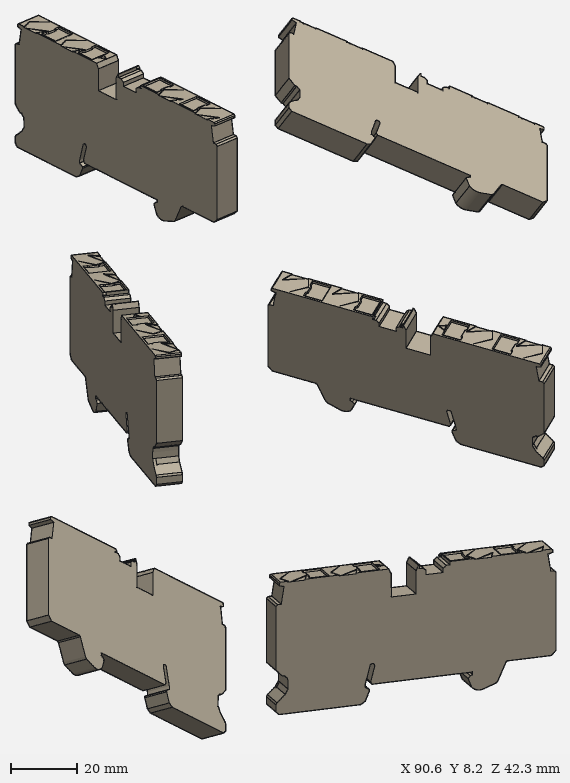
import cadquery as cq
import math

LENGTH = 90.6
WIDTH = 8.2
HEIGHT = 42.3

SHOULDER_Z = 35.2
SHOULDER_CHAMFER = 0.5
NECK_FOOT_INSET = 1.7
NECK_TOP_INSET = 2.6
NECK_TOP_Z = 40.8
LIP_INSET = 1.1
LIP_CHAMFER = 0.4
LIP_BOTTOM_Z = 41.2

SLOT_LEFT = 37.3
SLOT_RIGHT = 45.3
SLOT_FLOOR_Z = 33.25
SLOT_FLARE = 0.8
SLOT_FLARE_Z = 40.7

GROOVE_TOP_LEFT = 46.4
GROOVE_TOP_RIGHT = 56.3
GROOVE_LEDGE_Z = 41.2
GROOVE_LEDGE_WIDTH = 1.2
GROOVE_LEFT = 48.6
GROOVE_RIGHT = 54.1
GROOVE_CHAMFER_Z = 40.4
GROOVE_FLOOR_Z = 39.05

RAIL_SEAT_Z = 6.1
BELLY_Z = 8.2
BELLY_CHAMFER = 1.5
FOOT_CHAMFER = 1.0
FOOT_TOP_Z = 3.3
FOOT_SLOPE_START = (0.4, 3.9)
FOOT_TOE = [(28.9, 5.35), (30.3, 4.5), (30.3, 4.1), (28.9, 0.9), (27.4, 0)]

HOOK_BACK = [(74.8, BELLY_Z), (74.4, 7.9), (71.8, 2.3), (71.2, 1.6)]
HOOK_ROUND_START = (66.95, 0.2)
HOOK_ROUND_MIDDLE = (65.0, 0.2)
HOOK_ROUND_END = (63.3, 1.2)
HOOK_NOSE = [(62.15, 4.2), (62.9, 5.0), (63.6, 5.3), (63.6, RAIL_SEAT_Z)]

SLIT_MOUTH = [(31.1, RAIL_SEAT_Z), (30.6, 6.9)]
SLIT_ROUND_START = (31.9, 11.6)
SLIT_ROUND_TOP = (31.3, 12.7)
SLIT_ROUND_END = (30.35, 11.9)
SLIT_BOTTOM_LEFT = (28.9, 6.25)

NOTCH_DEPTH = 3.9
NOTCH_TOP_Z = 14.3
NOTCH_WALL_BOTTOM = (NOTCH_DEPTH, 7.9)
NOTCH_UPPER_WALL = [(NOTCH_DEPTH, 9.8), (3.8, 11.2), (2.7, 12.2), (2.1, 12.2)]
NOTCH_CORNER_X = 3.0
NOTCH_CORNER_Z = 6.25
NOTCH_FILL = 0.3

PLATE_THICKNESS = 1.0
NIB_REACH = 0.6
NIB_TIP_Z = 41.7
NIB_BOTTOM_Z = 41.5

OPENING_PITCH = 16.4
RIGHT_GROUP_OFFSET = 60.25
TOOL_RECESS_DEPTH = 0.3
RAMP_HINGE_BACK = (7.0, 7.6)
RAMP_HINGE_FRONT = (11.1, 3.4)
RAMP_CORNER = (2.6, 3.4)
RAMP_FRONT_START = 4.1
FLAT_FRONT_START = 4.7
FLAT_FRONT_END = 9.4

POCKET_LENGTH = 6.2
POCKET_WIDTH = 6.9
POCKET_FRONT_Y = 0.6
POCKET_DEPTH = 0.45
POCKET_WALL_INSET = 0.3
INDENT_DEPTH = 0.45
INDENT_START = 1.8
INDENT_CHAMFER = 0.45
INDENT_END = 5.4
LEFT_POCKET_X = 11.2
RIGHT_POCKET_X = 62.8

ARROW_LEFT = 34.1
ARROW_TIP = 36.3
ARROW_HALF_WIDTH = 1.1
ARROW_CENTRE_Y = 4.2
ARROW_DEPTH = 0.3


def end_shoulder():
    """Left-end shoulder, neck and lip, listed from the side wall up to the top face."""
    return [
        (0, SHOULDER_Z - SHOULDER_CHAMFER),
        (SHOULDER_CHAMFER, SHOULDER_Z),
        (NECK_FOOT_INSET, SHOULDER_Z),
        (NECK_TOP_INSET, NECK_TOP_Z),
        (LIP_INSET, LIP_BOTTOM_Z),
        (LIP_INSET, HEIGHT - LIP_CHAMFER),
        (LIP_INSET + LIP_CHAMFER, HEIGHT),
    ]


def mirrored_end(points):
    """The same points on the opposite end, in reverse order."""
    return [(LENGTH - x, z) for x, z in reversed(points)]


def top_cutouts():
    """Deep slot followed by the stepped groove, from left to right."""
    return [
        (SLOT_LEFT - SLOT_FLARE, HEIGHT),
        (SLOT_LEFT, SLOT_FLARE_Z),
        (SLOT_LEFT, SLOT_FLOOR_Z),
        (SLOT_RIGHT, SLOT_FLOOR_Z),
        (SLOT_RIGHT, SLOT_FLARE_Z),
        (SLOT_RIGHT + SLOT_FLARE, HEIGHT),
        (GROOVE_TOP_LEFT, HEIGHT),
        (GROOVE_TOP_LEFT, GROOVE_LEDGE_Z),
        (GROOVE_TOP_LEFT + GROOVE_LEDGE_WIDTH, GROOVE_LEDGE_Z),
        (GROOVE_LEFT, GROOVE_CHAMFER_Z),
        (GROOVE_LEFT, GROOVE_FLOOR_Z),
        (GROOVE_RIGHT, GROOVE_FLOOR_Z),
        (GROOVE_RIGHT, GROOVE_CHAMFER_Z),
        (GROOVE_TOP_RIGHT - GROOVE_LEDGE_WIDTH, GROOVE_LEDGE_Z),
        (GROOVE_TOP_RIGHT, GROOVE_LEDGE_Z),
        (GROOVE_TOP_RIGHT, HEIGHT),
    ]


def housing():
    """Full housing profile, clockwise from the left wall."""
    left_end = end_shoulder()
    upper_edge = left_end + top_cutouts() + mirrored_end(left_end)
    belly_corner = [(LENGTH, BELLY_Z + BELLY_CHAMFER), (LENGTH - BELLY_CHAMFER, BELLY_Z)]
    foot_and_notch = [
        (FOOT_CHAMFER, 0),
        (0, FOOT_CHAMFER),
        (0, FOOT_TOP_Z),
        FOOT_SLOPE_START,
        (NOTCH_CORNER_X, NOTCH_CORNER_Z),
        NOTCH_WALL_BOTTOM,
        *NOTCH_UPPER_WALL,
        (0, NOTCH_TOP_Z),
    ]
    profile = (
        cq.Workplane("XZ")
        .polyline(upper_edge + belly_corner + HOOK_BACK + [HOOK_ROUND_START])
        .threePointArc(HOOK_ROUND_MIDDLE, HOOK_ROUND_END)
        .polyline(HOOK_NOSE + SLIT_MOUTH + [SLIT_ROUND_START], includeCurrent=True)
        .threePointArc(SLIT_ROUND_TOP, SLIT_ROUND_END)
        .polyline([SLIT_BOTTOM_LEFT] + FOOT_TOE + foot_and_notch, includeCurrent=True)
        .close()
    )
    return profile.extrude(-WIDTH)


def plate_fill(points):
    """Extra material within the thickness of the cover plate."""
    plane = cq.Workplane("XZ", origin=(0, WIDTH, 0))
    return plane.polyline(points).close().extrude(PLATE_THICKNESS)


def cover_plate_details():
    """Snap nibs facing each other across the groove, and a filled notch corner."""
    left_nib = [
        (GROOVE_TOP_LEFT, HEIGHT),
        (GROOVE_TOP_LEFT + NIB_REACH, NIB_TIP_Z),
        (GROOVE_TOP_LEFT, NIB_BOTTOM_Z),
    ]
    right_nib = [
        (GROOVE_TOP_RIGHT, HEIGHT),
        (GROOVE_TOP_RIGHT - NIB_REACH, NIB_TIP_Z),
        (GROOVE_TOP_RIGHT, NIB_BOTTOM_Z),
    ]
    notch_corner = [
        (NOTCH_CORNER_X - NOTCH_FILL, NOTCH_CORNER_Z - NOTCH_FILL),
        (NOTCH_CORNER_X, NOTCH_CORNER_Z),
        NOTCH_WALL_BOTTOM,
    ]
    return [plate_fill(points) for points in (left_nib, right_nib, notch_corner)]


def top_pocket(points, depth, taper=0):
    """Prism sunk into the top face to the given depth."""
    plane = cq.Workplane("XY", origin=(0, 0, HEIGHT))
    return plane.polyline(points).close().extrude(-depth, taper=taper)


def tool_recess():
    """Ramp falling gently from the top face to the front edge, beside a flat triangular recess."""
    run = (sum(RAMP_HINGE_BACK) - RAMP_FRONT_START) / math.sqrt(2)
    across_hinge = cq.Plane(
        origin=(*RAMP_HINGE_FRONT, HEIGHT), xDir=(-1, -1, 0), normal=(-1, 1, 0)
    )
    wedge = (
        cq.Workplane(across_hinge)
        .polyline([(0, 0), (run, 0), (run, -TOOL_RECESS_DEPTH)])
        .close()
        .extrude(2 * WIDTH, both=True)
    )
    ramp_outline = [
        RAMP_HINGE_BACK,
        RAMP_CORNER,
        (RAMP_FRONT_START, 0),
        (FLAT_FRONT_START, 0),
        RAMP_HINGE_FRONT,
    ]
    ramp = top_pocket(ramp_outline, 2 * TOOL_RECESS_DEPTH).intersect(wedge)
    flat_outline = [(FLAT_FRONT_START, 0), RAMP_HINGE_FRONT, (FLAT_FRONT_END, 0)]
    return ramp, top_pocket(flat_outline, TOOL_RECESS_DEPTH)


def wire_pocket(outer_x, inward):
    """Tapered pocket reaching from outer_x in the inward direction (+1 or -1 along X)."""
    indent = [
        (0, INDENT_END),
        (INDENT_DEPTH, INDENT_END - INDENT_CHAMFER),
        (INDENT_DEPTH, INDENT_START + INDENT_CHAMFER),
        (0, INDENT_START),
    ]
    corners = [(0, 0), (POCKET_LENGTH, 0), (POCKET_LENGTH, POCKET_WIDTH), (0, POCKET_WIDTH)]
    outline = [(outer_x + inward * x, POCKET_FRONT_Y + y) for x, y in corners + indent]
    taper = math.degrees(math.atan2(POCKET_WALL_INSET, POCKET_DEPTH))
    return top_pocket(outline, POCKET_DEPTH, taper)


def arrow_recess():
    """Triangle pointing towards the deep slot."""
    outline = [
        (ARROW_LEFT, ARROW_CENTRE_Y - ARROW_HALF_WIDTH),
        (ARROW_TIP, ARROW_CENTRE_Y),
        (ARROW_LEFT, ARROW_CENTRE_Y + ARROW_HALF_WIDTH),
    ]
    return top_pocket(outline, ARROW_DEPTH)


body = housing()
for fill in cover_plate_details():
    body = body.union(fill)

for index in range(2):
    shift = index * OPENING_PITCH
    for group_offset in (0, RIGHT_GROUP_OFFSET):
        for recess in tool_recess():
            body = body.cut(recess.translate((group_offset + shift, 0, 0)))
    body = body.cut(wire_pocket(LEFT_POCKET_X + shift, 1))
    body = body.cut(wire_pocket(RIGHT_POCKET_X + shift, -1))

result = body.cut(arrow_recess())